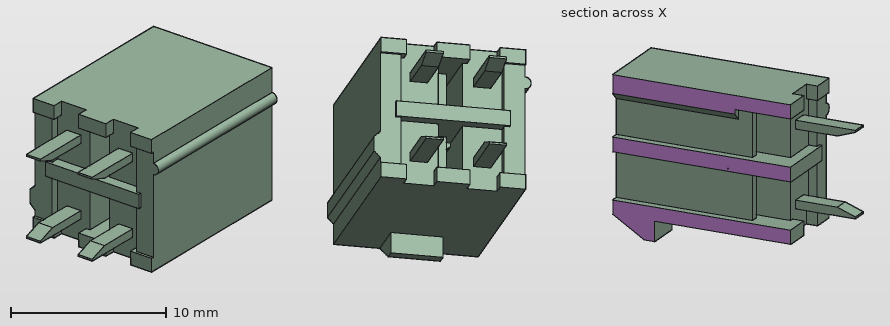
import cadquery as cq


body_width = 9.6
body_height = 9.6
body_depth = 12.8

post_setback = 0.2
floor_setback = 0.8
pad_height = 1.0
pocket_width = 6.84
bar_width = 7.56
bar_height = 1.04
notch_width = 2.0

slot_width = 1.6
wall_thickness = 0.56
wall_setback = 3.0
web_setback = 4.0
upper_corner_outer_drop = 0.32
upper_corner_inner_drop = 0.82
lower_corner_outer_drop = 0.24
lower_corner_inner_drop = 0.67

pin_pitch = 4.2
pin_width = 1.14
pin_thickness = 0.6
pin_length = 3.5
pin_taper_length = 1.3
pin_tip_thickness = 0.14
upper_pin_top = 2.84
lower_pin_bottom = -3.24

rail_projection = 0.41
key_height = 1.82
key_center_z = -2.49
bead_center_z = 2.6
latch_width = 3.46
latch_drop = 1.4
latch_depth = 3.02
latch_flat = 0.75

half_width = body_width / 2
half_height = body_height / 2
window_top = half_height - pad_height
window_height = 2 * window_top
pin_columns = (-pin_pitch / 2, pin_pitch / 2)


def block(width, height, y_front, y_rear, x_center=0, z_center=0):
    """Box centred on a point in X and Z, running from y_front to y_rear."""
    depth = y_rear - y_front
    box = cq.Workplane("XY").box(width, depth, height)
    return box.translate((x_center, y_front + depth / 2, z_center))


def prism_along_y(points, y_front, y_rear):
    """Extrude an XZ outline from y_front to y_rear."""
    plane = cq.Workplane("XZ", origin=(0, y_front, 0))
    return plane.polyline(points).close().extrude(y_front - y_rear)


def prism_along_x(points, width, x_center):
    """Extrude a YZ outline symmetrically about x_center."""
    plane = cq.Workplane("YZ", origin=(x_center, 0, 0))
    return plane.polyline(points).close().extrude(width / 2, both=True)


def make_housing():
    """Block with six raised pads, two set-back side posts and a recessed floor."""
    housing = block(body_width, body_height, 0, body_depth)
    housing = housing.cut(block(body_width, window_height, 0, post_setback))
    housing = housing.cut(block(pocket_width, window_height, 0, floor_setback))
    for x in pin_columns:
        housing = housing.cut(block(notch_width, body_height, 0, floor_setback, x))
    return housing


def passage(side, z_bottom, z_top, outer_drop=0, inner_drop=0):
    """Opening on one side of the central wall; the drops leave a sloped corner web."""
    x_outer = side * slot_width / 2
    x_inner = side * wall_thickness / 2
    outline = [
        (x_outer, z_bottom),
        (x_inner, z_bottom),
        (x_inner, z_top - inner_drop),
        (x_outer, z_top - outer_drop),
    ]
    opening = prism_along_y(outline, wall_setback, body_depth)
    opening_width = abs(x_outer - x_inner)
    x_center = (x_outer + x_inner) / 2
    z_center = (z_bottom + z_top) / 2
    web_relief = block(opening_width, z_top - z_bottom, wall_setback, web_setback, x_center, z_center)
    return opening.union(web_relief)


def cut_passages(housing):
    """Central slot in the floor, leading to four passages open at the rear."""
    half_bar = bar_height / 2
    housing = housing.cut(block(slot_width, window_height, 0, wall_setback))
    passages = [
        passage(-1, half_bar, window_top, upper_corner_outer_drop, upper_corner_inner_drop),
        passage(1, half_bar, window_top),
        passage(-1, -window_top, -half_bar),
        passage(1, -window_top, -half_bar, lower_corner_outer_drop, lower_corner_inner_drop),
    ]
    for opening in passages:
        housing = housing.cut(opening)
    return housing


def make_bar():
    """Cross bar level with the pads, joined to the web behind it in the slot."""
    bar = block(bar_width, bar_height, 0, floor_setback)
    return bar.union(block(slot_width, bar_height, 0, wall_setback))


def make_pin(x_center, z_flat, inward):
    """Pin with one flat face at z_flat; the opposite face tapers towards the tip."""
    y_tip = -pin_length
    y_taper = y_tip + pin_taper_length
    z_opposite = z_flat + inward * pin_thickness
    outline = [
        (floor_setback, z_flat),
        (y_tip, z_flat),
        (y_tip, z_flat + inward * pin_tip_thickness),
        (y_taper, z_opposite),
        (floor_setback, z_opposite),
    ]
    return prism_along_x(outline, pin_width, x_center)


def make_key():
    """Chamfered key rail along the -X side."""
    x_tip = -half_width - rail_projection
    z_top = key_center_z + key_height / 2
    z_bottom = key_center_z - key_height / 2
    outline = [
        (-half_width, z_bottom),
        (x_tip, z_bottom + rail_projection),
        (x_tip, z_top - rail_projection),
        (-half_width, z_top),
    ]
    return prism_along_y(outline, post_setback, body_depth)


def make_bead():
    """Half-round bead along the +X side."""
    plane = cq.Workplane("XZ", origin=(half_width, post_setback, bead_center_z))
    return plane.circle(rail_projection).extrude(post_setback - body_depth)


def make_latch():
    """Ramped latch under the rear edge."""
    z_bottom = -half_height - latch_drop
    y_front = body_depth - latch_depth
    outline = [
        (body_depth, -half_height),
        (y_front, -half_height),
        (y_front, z_bottom),
        (y_front + latch_flat, z_bottom),
    ]
    return prism_along_x(outline, latch_width, 0)


result = make_housing().union(make_key()).union(make_bead()).union(make_latch())
result = cut_passages(result).union(make_bar())
for pin_x in pin_columns:
    result = result.union(make_pin(pin_x, upper_pin_top, -1))
    result = result.union(make_pin(pin_x, lower_pin_bottom, 1))